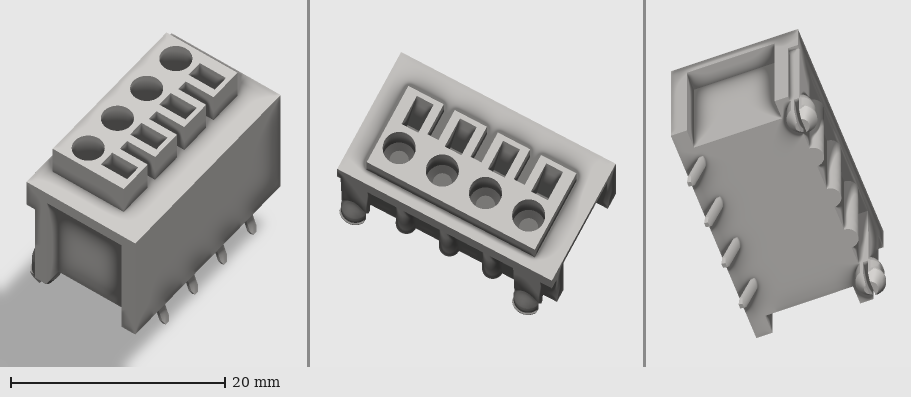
import cadquery as cq


poles = 4
pitch = 4.57
pole_ys = [(i - (poles - 1) / 2) * pitch for i in range(poles)]
between_pole_ys = [(i - (poles - 2) / 2) * pitch for i in range(poles - 1)]

body_depth = 12.68
body_width = 22.72
body_height = 13.1

tower_start_x = 1.23
tower_depth = 8.27
tower_width = 17.8
tower_height = 3.3
tower_end_x = tower_start_x + tower_depth
total_height = body_height + tower_height

notch_depth = 3.25
notch_width = 1.15

hole_x = 3.85
hole_top_diameter = 3.1
hole_bottom_diameter = 1.8
hole_bore_depth = 4.55
hole_cone_depth = (hole_top_diameter - hole_bottom_diameter) / 2

slot_start_x = 5.98
slot_end_x = 9.02
slot_ramp_foot_x = 7.15
slot_width = 1.77
slot_depth = 5.11

pocket_start_x = 2.32
pocket_end_x = 11.09
pocket_height = 11.72
pocket_depth = 1.9

recess_depth = 1.0
recess_height = 9.84
rib_top_radius = 0.98
rib_bottom_radius = recess_depth
leg_top_width = 2.8
leg_bottom_width = 2.52

clip_x = 0.35
clip_middle_y = 0.48
clip_spacing = poles * pitch
clip_ys = [clip_middle_y + side * clip_spacing / 2 for side in (-1, 1)]
clip_radius = 1.36
clip_width = 2.52
dome_height = 2.75
dome_middle_radius = 0.89
dome_middle_height = 1.5
barb_radius = 1.52
barb_top_z = -1.65
cone_top_z = -1.9
clip_bottom_z = -3.3
clip_tip_radius = 0.55
barb_tip_radius = 0.8
clip_slot_width = 0.5
clip_slot_x = 0.32

pin_x = 10.8
pin_offset_y = 1.0
pin_width = 1.0
pin_thickness = 0.35
pin_bulge = 0.1
pin_angle = 19.4
pin_length = 4.07
pin_root = 0.68
pin_tip_width = 0.45
pin_tip_length = 0.6


def box(x0, x1, y_middle, width, z0, z1):
    """Box between two X and two Z positions, centred on y_middle."""
    size = (x1 - x0, width, z1 - z0)
    return cq.Workplane("XY").box(*size, centered=(False, True, False)).translate((x0, y_middle, z0))


def make_housing():
    """Body and notched tower, with the end pockets and the front recess removed."""
    housing = box(0, body_depth, 0, body_width, 0, body_height)
    tower = box(tower_start_x, tower_end_x, 0, tower_width, body_height, total_height)
    for y in between_pole_ys:
        tower = tower.cut(box(tower_end_x - notch_depth, tower_end_x, y, notch_width, body_height, total_height))
    housing = housing.union(tower)
    for side in (-1, 1):
        pocket_y = side * (body_width - pocket_depth) / 2
        housing = housing.cut(box(pocket_start_x, pocket_end_x, pocket_y, pocket_depth, 0, pocket_height))
    return housing.cut(box(0, recess_depth, 0, body_width, 0, recess_height))


def make_screw_hole(y):
    """Round bore that ends in a cone with a flat bottom."""
    bore_bottom_z = total_height - hole_bore_depth
    return (
        cq.Workplane("XZ", origin=(hole_x, y, 0))
        .moveTo(0, total_height)
        .lineTo(hole_top_diameter / 2, total_height)
        .lineTo(hole_top_diameter / 2, bore_bottom_z)
        .lineTo(hole_bottom_diameter / 2, bore_bottom_z - hole_cone_depth)
        .lineTo(0, bore_bottom_z - hole_cone_depth)
        .close()
        .revolve(360, (0, 0), (0, 1))
    )


def make_wire_slot(y):
    """Slot with a vertical front wall and a ramp at the back."""
    floor_z = total_height - slot_depth
    return (
        cq.Workplane("XZ", origin=(0, y, 0))
        .moveTo(slot_start_x, total_height)
        .lineTo(slot_end_x, total_height)
        .lineTo(slot_ramp_foot_x, floor_z)
        .lineTo(slot_start_x, floor_z)
        .close()
        .extrude(slot_width / 2, both=True)
    )


def make_rib(y):
    """Round rib that grows slightly towards the bottom."""
    return (
        cq.Workplane("XY", origin=(recess_depth, y, 0))
        .circle(rib_bottom_radius)
        .workplane(offset=recess_height)
        .circle(rib_top_radius)
        .loft()
    )


def make_leg(y):
    """Leg that fills the recess above a clip and narrows towards the bottom."""
    return (
        cq.Workplane("YZ", origin=(0, y, 0))
        .moveTo(-leg_bottom_width / 2, 0)
        .lineTo(leg_bottom_width / 2, 0)
        .lineTo(leg_top_width / 2, recess_height)
        .lineTo(-leg_top_width / 2, recess_height)
        .close()
        .extrude(recess_depth)
    )


def make_clip(y):
    """Split round peg with a domed top, flat sides and a barb on its front half."""
    peg = (
        cq.Workplane("XZ")
        .moveTo(0, clip_bottom_z)
        .lineTo(clip_tip_radius, clip_bottom_z)
        .lineTo(clip_radius, cone_top_z)
        .lineTo(clip_radius, 0)
        .threePointArc((dome_middle_radius, dome_middle_height), (0, dome_height))
        .close()
        .revolve(360, (0, 0), (0, 1))
    )
    barb = (
        cq.Workplane("XZ")
        .moveTo(0, clip_bottom_z)
        .lineTo(barb_tip_radius, clip_bottom_z)
        .lineTo(barb_radius, cone_top_z)
        .lineTo(barb_radius, barb_top_z)
        .lineTo(0, barb_top_z)
        .close()
        .revolve(360, (0, 0), (0, 1))
    )
    barb = barb.intersect(box(-barb_radius, 0, 0, 2 * barb_radius, clip_bottom_z, 0))
    clip = peg.union(barb)
    clip = clip.intersect(box(-barb_radius, barb_radius, 0, clip_width, clip_bottom_z, dome_height))
    clip = clip.translate((clip_x, y, 0))
    slot_start = clip_slot_x - clip_slot_width / 2
    return clip.cut(box(slot_start, slot_start + clip_slot_width, y, clip_width, clip_bottom_z, 0))


def make_pin(y):
    """Slanted pin with a tapered tip, rooted inside the housing."""
    half_width = pin_width / 2
    half_thickness = pin_thickness / 2
    strip = (
        cq.Workplane("XY", origin=(0, 0, -pin_length))
        .moveTo(half_thickness, -half_width)
        .lineTo(half_thickness, half_width)
        .lineTo(-half_thickness, half_width)
        .threePointArc((-half_thickness - pin_bulge, 0), (-half_thickness, -half_width))
        .close()
        .extrude(pin_length + pin_root)
    )
    outline = (
        cq.Workplane("YZ")
        .moveTo(-pin_tip_width / 2, -pin_length)
        .lineTo(pin_tip_width / 2, -pin_length)
        .lineTo(half_width, pin_tip_length - pin_length)
        .lineTo(half_width, pin_root)
        .lineTo(-half_width, pin_root)
        .lineTo(-half_width, pin_tip_length - pin_length)
        .close()
        .extrude(pin_thickness + pin_bulge, both=True)
    )
    pin = strip.intersect(outline)
    return pin.rotate((0, 0, 0), (0, 1, 0), -pin_angle).translate((pin_x, y, 0))


result = make_housing()
for pole_y in pole_ys:
    result = result.cut(make_screw_hole(pole_y)).cut(make_wire_slot(pole_y))
    result = result.union(make_pin(pole_y + pin_offset_y))
for rib_y in between_pole_ys:
    result = result.union(make_rib(rib_y))
for clip_y in clip_ys:
    result = result.union(make_leg(clip_y)).union(make_clip(clip_y))